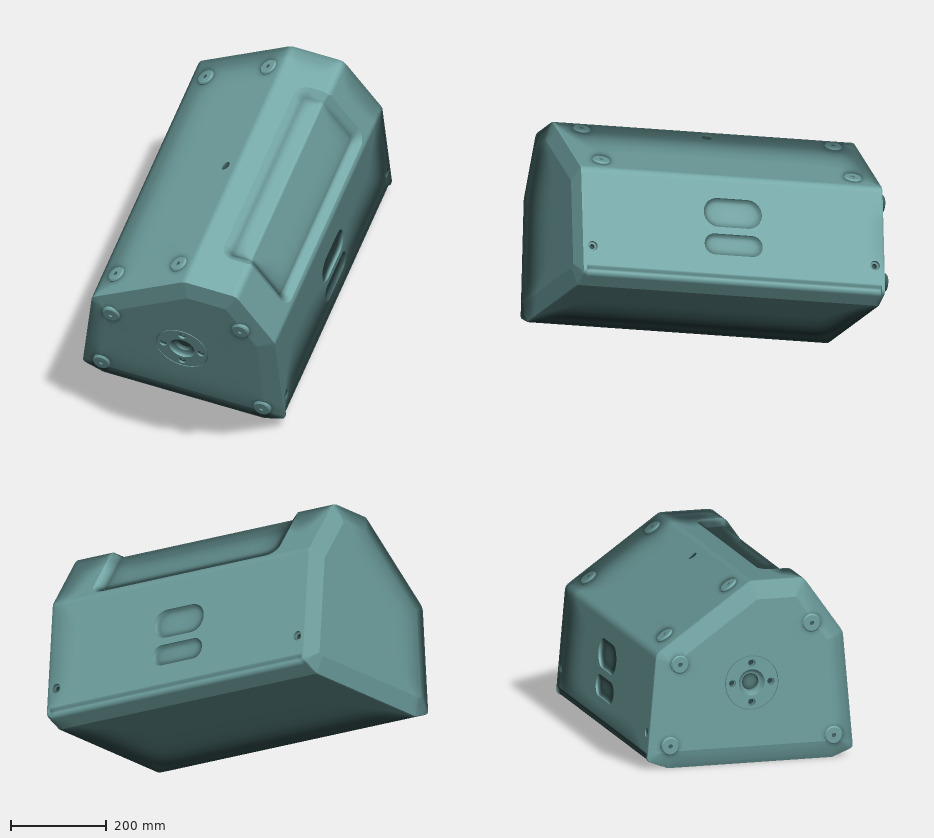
import cadquery as cq
import math

overall_length = 684.0
end_foot_height = 5.0
cabinet_length = overall_length - end_foot_height
mid_y = end_foot_height / 2
front_y = mid_y - cabinet_length / 2
bevel_depth = 11.0
bevel_inset = 38.0
rim_length = 3.5
rim_inset = 1.0
shell_length = cabinet_length - 2 * bevel_depth

height = 390.0
bottom_half_width = 178.5
corner_x = 224.7
corner_z = 18.0
shoulder_left = (-204.5, 246.0)
ridge_left = (0.0, height)
ridge_right = (116.0, height)
shoulder_right = (202.5, 268.0)
edge_radius = 20.5
corner_radius = 10.0
smallest_radius = 1.0

section_corners = [
    ((-bottom_half_width, 0), 0),
    ((-corner_x, corner_z), corner_radius),
    (shoulder_left, edge_radius),
    (ridge_left, edge_radius),
    (ridge_right, edge_radius),
    (shoulder_right, edge_radius),
    ((corner_x, corner_z), corner_radius),
    ((bottom_half_width, 0), 0),
]

foot_radius = 19.5
foot_chamfer = 3.0
foot_hole_radius = 5.0
foot_hole_depth = 7.0
end_foot_places = [(-156.5, 224.0), (130.0, 294.0), (-178.0, 50.5), (178.0, 50.5)]
baffle_foot_height = 5.0
baffle_foot_x = (-169.0, -30.0)
baffle_foot_y = 274.0

screw_head_radius = 10.0
screw_head_depth = 5.5
screw_radius = 5.5
screw_depth = 14.0
baffle_screw_x = -27.0
side_screw_y = 308.0
side_screw_z = 76.0

socket_z = 174.5
plate_radius = 58.0
groove_width = 2.0
groove_depth = 2.0
socket_radius = 18.0
socket_rim_radius = 10.0
socket_depth = 20.5
plate_screw_circle = 42.0
plate_screw_head_radius = 8.0

grip_length = 126.5
grip_heights = [(137.0, 200.0), (76.0, 122.0)]
grip_depth = 9.0
grip_floor_radius = 8.0

handle_half_length = 239.0
handle_left_x = 48.0
handle_right_x = 197.0
handle_depth = 14.0
handle_wall_run = 20.5
handle_corner_radius = 27.5
handle_floor_radius = 6.0
handle_ridge_radius = 8.0
handle_overlap = 82.0
tolerance = 0.001

notch_half_length = 321.5
ledge_top_z = 33.5
ledge_bottom_z = 27.0
ledge_radius = 5.5
notch_depth = 5.5


def direction(start, end):
    """Unit vector in the XZ plane."""
    dx = end[0] - start[0]
    dz = end[1] - start[1]
    length = math.hypot(dx, dz)
    return dx / length, dz / length


def inset_corners(corners, distance, radius_loss):
    """Move every edge of a clockwise closed outline inwards and make its roundings smaller."""
    moved = []
    for i, (point, radius) in enumerate(corners):
        before = direction(corners[i - 1][0], point)
        after = direction(point, corners[(i + 1) % len(corners)][0])
        scale = distance / (1 + before[0] * after[0] + before[1] * after[1])
        x = point[0] + scale * (before[1] + after[1])
        z = point[1] - scale * (before[0] + after[0])
        new_radius = max(radius - radius_loss, smallest_radius) if radius else 0
        moved.append(((x, z), new_radius))
    return moved


def outline_wire(corners, y):
    """Closed wire at the given Y, with its corners rounded."""
    points = [cq.Vector(p[0], y, p[1]) for p, _ in corners]
    wire = cq.Wire.makePolygon(points, close=True)
    for (x, z), radius in corners:
        if radius > 0:
            nearest = min(wire.Vertices(), key=lambda v: math.hypot(v.X - x, v.Z - z))
            wire = wire.fillet2D(radius, [nearest])
    return wire


def face_plane(start, end, x):
    """Plane on the outer face between two cross-section corners, at the given X.

    Its local x runs from start to end, its local y along +Y and its normal points outwards.
    """
    dx, dz = direction(start, end)
    z = start[1] + (x - start[0]) * dz / dx
    return cq.Plane(origin=(x, mid_y, z), xDir=(dx, 0, dz), normal=(-dz, 0, dx))


def side_plane(z):
    """Plane on the left side wall at the given Z, local x along -Y, normal outwards."""
    dx, dz = direction((-corner_x, corner_z), shoulder_left)
    x = -corner_x + (z - corner_z) * dx / dz
    return cq.Plane(origin=(x, mid_y, z), xDir=(0, -1, 0), normal=(-dz, 0, dx))


def both_sides(tool):
    return tool.union(tool.mirror("YZ"))


def cabinet():
    shell_half = shell_length / 2
    rim_start = shell_half - rim_length
    shell_wire = outline_wire(section_corners, mid_y - rim_start)
    rim_wire = outline_wire(inset_corners(section_corners, rim_inset, rim_inset), mid_y - shell_half)
    end_wire = outline_wire(inset_corners(section_corners, bevel_inset, edge_radius), front_y)
    shell = cq.Solid.extrudeLinear(shell_wire, [], cq.Vector(0, 2 * rim_start, 0))
    front_end = cq.Workplane(cq.Solid.makeLoft([shell_wire, rim_wire, end_wire], True))
    back_end = front_end.mirror("XZ", (0, mid_y, 0))
    return cq.Workplane(shell).union(front_end).union(back_end)


def screw_holes(plane, places, head_radius):
    head = cq.Workplane(plane).pushPoints(places).circle(head_radius).extrude(-screw_head_depth)
    return head.union(cq.Workplane(plane).pushPoints(places).circle(screw_radius).extrude(-screw_depth))


def add_feet(body, plane, places, foot_height, embed):
    """Add round chamfered feet that stand out of a plane and reach below it."""
    for place in places:
        base = cq.Workplane(plane).center(*place)
        pad = base.workplane(offset=-embed).circle(foot_radius).extrude(embed + foot_height - foot_chamfer)
        top = base.workplane(offset=foot_height - foot_chamfer).circle(foot_radius)
        top = top.workplane(offset=foot_chamfer).circle(foot_radius - foot_chamfer).loft()
        hole = base.workplane(offset=foot_height).circle(foot_hole_radius).extrude(-foot_hole_depth)
        body = body.union(pad).union(top).cut(hole)
    return body


def socket_cut():
    plate = cq.Workplane(front_plane).center(0, socket_z)
    groove = plate.circle(plate_radius).circle(plate_radius - groove_width).extrude(-groove_depth)
    mouth_radius = socket_radius + socket_rim_radius
    profile = (
        cq.Workplane("XY", origin=(0, front_y, socket_z))
        .lineTo(mouth_radius, 0)
        .radiusArc((socket_radius, socket_rim_radius), -socket_rim_radius)
        .lineTo(socket_radius, socket_depth)
        .lineTo(0, socket_depth)
        .close()
    )
    bore = profile.revolve(360, (0, 0, 0), (0, 1, 0))
    c = plate_screw_circle
    places = [(c, 0), (0, c), (-c, 0), (0, -c)]
    return groove.union(bore).union(screw_holes(plate.plane, places, plate_screw_head_radius))


def grip_cut():
    cut = cq.Workplane()
    for bottom, top in grip_heights:
        plane = side_plane((bottom + top) / 2)
        pocket = cq.Workplane(plane).slot2D(grip_length, top - bottom).extrude(-grip_depth)
        floor = pocket.faces(cq.DirectionMinMaxSelector(plane.zDir, False))
        cut = cut.add(floor.edges().fillet(grip_floor_radius))
    return cut.combine()


def handle_panel(start, end, x_from, x_to):
    """Tapered rounded pocket in one face, between two X positions on that face."""
    plane = face_plane(start, end, (x_from + x_to) / 2)
    length = (x_to - x_from) / direction(start, end)[0]
    mouth = cq.Sketch().rect(length, 2 * handle_half_length).vertices().fillet(handle_corner_radius)
    taper = math.degrees(math.atan(handle_wall_run / handle_depth))
    panel = cq.Workplane(plane).placeSketch(mouth).extrude(-handle_depth, taper=taper)
    return panel.faces(cq.DirectionMinMaxSelector(plane.zDir, False)).edges().fillet(handle_floor_radius)


def handle_cut():
    top = handle_panel(ridge_left, ridge_right, handle_left_x, ridge_right[0] + handle_overlap)
    slope = handle_panel(ridge_right, shoulder_right, ridge_right[0] - handle_overlap, handle_right_x)
    t = direction(ridge_left, ridge_right)
    s = direction(ridge_right, shoulder_right)
    along = (t[0] + s[0], 0, t[1] + s[1])
    halving = cq.Plane(origin=(ridge_right[0], mid_y, height), xDir=(0, 1, 0), normal=along)
    size = 4 * handle_half_length
    after = cq.Workplane(halving).rect(size, size).extrude(size)
    pocket = top.cut(after).union(slope.intersect(after))

    def is_below_ridge(edge):
        start, middle, end = (halving.toLocalCoords(edge.positionAt(t)) for t in (0, 0.5, 1))
        in_plane = max(abs(p.z) for p in (start, middle, end)) < tolerance
        return in_plane and abs(middle.y) > tolerance

    return pocket.edges().filter(is_below_ridge).fillet(handle_ridge_radius)


def notch_cut():
    """Strips taken off both lower corners, leaving narrower corners below a sloping ledge."""
    wall = direction((-corner_x, corner_z), shoulder_left)
    ledge_outer = -corner_x + (ledge_top_z - corner_z) * wall[0] / wall[1]
    ledge_inner = -corner_x + notch_depth + (ledge_bottom_z - corner_z) * wall[0] / wall[1]
    corner_drop = notch_depth * corner_z / (corner_x - bottom_half_width)
    inner_corner = (notch_depth - corner_x, corner_z - corner_drop)
    left = [
        ((ledge_outer, ledge_top_z), ledge_radius),
        ((ledge_inner, ledge_bottom_z), ledge_radius),
        (inner_corner, corner_radius),
    ]
    right = [((-x, z), radius) for (x, z), radius in left]
    before, after = section_corners[:1], section_corners[-1:]
    notched = before + left[::-1] + section_corners[2:-2] + right + after
    y = mid_y - notch_half_length
    run = cq.Vector(0, 2 * notch_half_length, 0)
    full_core = cq.Solid.extrudeLinear(outline_wire(section_corners, y), [], run)
    notched_core = cq.Solid.extrudeLinear(outline_wire(notched, y), [], run)
    return cq.Workplane(full_core).cut(cq.Workplane(notched_core))


front_plane = cq.Plane(origin=(0, front_y, 0), xDir=(1, 0, 0), normal=(0, -1, 0))
baffle_plane = face_plane(shoulder_left, ridge_left, 0)
baffle_slant = direction(shoulder_left, ridge_left)[0]
baffle_places = [(x / baffle_slant, y) for x in baffle_foot_x for y in (-baffle_foot_y, baffle_foot_y)]
side_screw_places = [(-side_screw_y, 0), (side_screw_y, 0)]
side_screws = screw_holes(side_plane(side_screw_z), side_screw_places, screw_head_radius)

result = cabinet()
result = add_feet(result, front_plane, end_foot_places, end_foot_height, bevel_depth)
result = add_feet(result, baffle_plane, baffle_places, baffle_foot_height, baffle_foot_height)
result = result.cut(screw_holes(baffle_plane, [(baffle_screw_x / baffle_slant, 0)], screw_head_radius))
result = result.cut(socket_cut())
for tool in (grip_cut(), side_screws):
    result = result.cut(both_sides(tool))
result = result.cut(handle_cut())
result = result.cut(notch_cut())